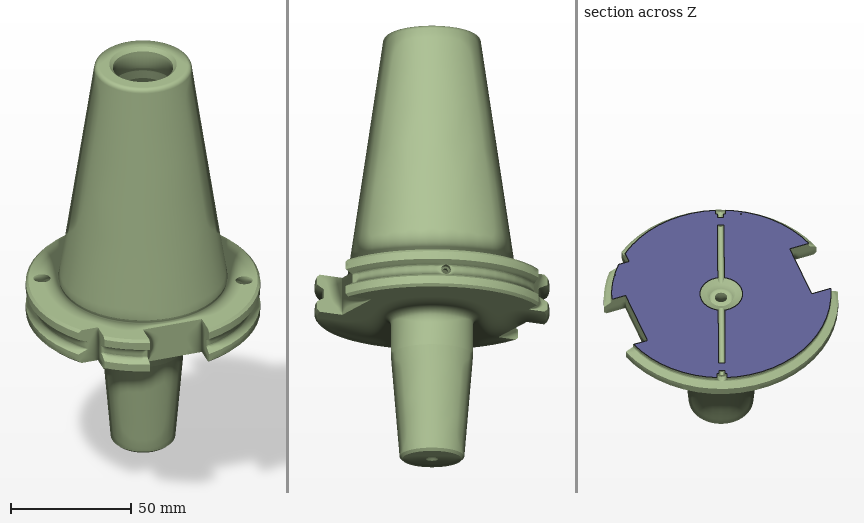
import cadquery as cq
import math


total_height = 181.8

gauge_height = 80.0
gauge_radius = 34.9
taper_slope = 7 / 48
taper_bottom = 78.5
taper_top_round = 2.0
taper_top_radius = gauge_radius - (total_height - gauge_height) * taper_slope
taper_bottom_radius = gauge_radius + (gauge_height - taper_bottom) * taper_slope
relief_radius = 34.7
relief_round = 0.4

flange_radius = 48.7
flange_bottom = 60.9
flange_top = 76.9
flange_chamfer = 1.0
groove_height = 68.9
groove_root_radius = 45.6
groove_root_width = 3.6
groove_flank_angle = 30.0
groove_root_round = 0.5

slot_width = 25.8
slot_floor_left = 35.3
slot_floor_right = 37.6
notch_x = 29.8
notch_y = 30.0

nose_radius = 17.0
nose_cone_height = 44.7
nose_tip_radius = 13.5
nose_chamfer = 1.0
nose_fillet = 2.9

through_radius = 2.5
bore_floor_radius = 4.7
bore_radius = 10.4
counterbore_radius = 12.5
counterbore_depth = 10.9
undercut_radius = 13.0
undercut_height = 1.5
mouth_chamfer = 1.5
drill_point_angle = 31.0

coolant_angle = 70.0
channel_radius = 1.3
channel_entry_radius = 8.7
face_screw_position = 42.0
face_screw_tilt = 30.0
face_screw_radius = 3.0
face_screw_depth = 2.9
face_socket_width = 2.9
plug_radius = 2.0
plug_depth = 2.2
plug_socket_width = 2.0
socket_depth = 1.8
socket_sides = 6

overlap = 3.6
edge_tolerance = 0.002


def round_circles(solid, circle_radius, round_radius):
    """Fillet every circular edge of the given radius."""
    circles = solid.edges("%CIRCLE").filter(
        lambda edge: math.isclose(edge.radius(), circle_radius, abs_tol=edge_tolerance)
    )
    return circles.fillet(round_radius)


def holder_body():
    """Taper, flange and nose turned in one piece."""
    flank_rise = (flange_radius - groove_root_radius) * math.tan(math.radians(groove_flank_angle))
    groove_half_root = groove_root_width / 2
    groove_half_mouth = groove_half_root + flank_rise
    profile = (
        cq.Workplane("XZ")
        .moveTo(0, 0)
        .lineTo(nose_tip_radius - nose_chamfer, 0)
        .lineTo(nose_tip_radius, nose_chamfer)
        .lineTo(nose_radius, nose_cone_height)
        .lineTo(nose_radius, flange_bottom - nose_fillet)
        .radiusArc((nose_radius + nose_fillet, flange_bottom), nose_fillet)
        .lineTo(flange_radius - flange_chamfer, flange_bottom)
        .lineTo(flange_radius, flange_bottom + flange_chamfer)
        .lineTo(flange_radius, groove_height - groove_half_mouth)
        .lineTo(groove_root_radius, groove_height - groove_half_root)
        .lineTo(groove_root_radius, groove_height + groove_half_root)
        .lineTo(flange_radius, groove_height + groove_half_mouth)
        .lineTo(flange_radius, flange_top - flange_chamfer)
        .lineTo(flange_radius - flange_chamfer, flange_top)
        .lineTo(relief_radius, flange_top)
        .lineTo(relief_radius, taper_bottom)
        .lineTo(taper_bottom_radius, taper_bottom)
        .lineTo(taper_top_radius, total_height)
        .lineTo(0, total_height)
        .close()
    )
    body = profile.revolve(360, (0, 0, 0), (0, 1, 0)).faces(">Z").edges().fillet(taper_top_round)
    body = round_circles(body, groove_root_radius, groove_root_round)
    return round_circles(body, relief_radius, relief_round)


def central_bore():
    """Stepped bore as a solid to be cut away; the ledge under the counterbore slopes at 45 degrees."""
    point_slope = math.tan(math.radians(drill_point_angle))
    bore_bottom = groove_height + (bore_radius - channel_entry_radius) * point_slope
    floor_height = bore_bottom - (bore_radius - bore_floor_radius) * point_slope
    ledge_height = total_height - counterbore_depth
    profile = (
        cq.Workplane("XZ")
        .moveTo(0, 0)
        .lineTo(through_radius, 0)
        .lineTo(through_radius, floor_height)
        .lineTo(bore_floor_radius, floor_height)
        .lineTo(bore_radius, bore_bottom)
        .lineTo(bore_radius, ledge_height - (counterbore_radius - bore_radius))
        .lineTo(counterbore_radius, ledge_height)
        .lineTo(undercut_radius, ledge_height)
        .lineTo(undercut_radius, ledge_height + undercut_height)
        .lineTo(counterbore_radius, ledge_height + undercut_height)
        .lineTo(counterbore_radius, total_height - mouth_chamfer)
        .lineTo(counterbore_radius + mouth_chamfer, total_height)
        .lineTo(0, total_height)
        .close()
    )
    return profile.revolve(360, (0, 0, 0), (0, 1, 0))


def flange_block(x_start, x_end, y_start, y_end):
    """Box through the full flange thickness."""
    block = cq.Workplane("XY").box(
        x_end - x_start, y_end - y_start, flange_top - flange_bottom, centered=False
    )
    return block.translate((x_start, y_start, flange_bottom))


def screw_recess(start, direction, radius, depth, socket_width):
    """Round recess ending on a screw face with a hexagon socket, cut along a direction."""
    axis = cq.Vector(*direction)
    origin = cq.Vector(*start) - axis * overlap
    plane = cq.Plane(origin=origin.toTuple(), xDir=(-direction[1], direction[0], 0), normal=direction)
    recess = cq.Workplane(plane).circle(radius).extrude(overlap + depth)
    socket_diameter = socket_width / math.cos(math.pi / socket_sides)
    socket_length = overlap + depth + socket_depth
    socket = cq.Workplane(plane).polygon(socket_sides, socket_diameter).extrude(socket_length)
    return recess.union(socket)


def coolant_cut(angle):
    """Radial channel into the bore floor, its plug in the groove and the screw in the flange face."""
    out_x = math.cos(math.radians(angle))
    out_y = math.sin(math.radians(angle))
    tilt = math.radians(face_screw_tilt)

    channel_end = face_screw_position - (flange_top - groove_height) * math.tan(tilt)
    channel_plane = cq.Plane(origin=(0, 0, groove_height), xDir=(0, 0, 1), normal=(out_x, out_y, 0))
    channel = cq.Workplane(channel_plane).circle(channel_radius).extrude(channel_end)

    plug = screw_recess(
        (groove_root_radius * out_x, groove_root_radius * out_y, groove_height),
        (-out_x, -out_y, 0),
        plug_radius, plug_depth, plug_socket_width,
    )
    face_screw = screw_recess(
        (face_screw_position * out_x, face_screw_position * out_y, flange_top),
        (-out_x * math.sin(tilt), -out_y * math.sin(tilt), -math.cos(tilt)),
        face_screw_radius, face_screw_depth, face_socket_width,
    )
    return channel.union(plug).union(face_screw)


result = holder_body().cut(central_bore())

result = result.cut(flange_block(-flange_radius, -slot_floor_left, -slot_width / 2, slot_width / 2))
result = result.cut(flange_block(slot_floor_right, flange_radius, -slot_width / 2, slot_width / 2))

result = result.cut(flange_block(notch_x, flange_radius, -flange_radius, -notch_y))

for turn in (0, 180):
    result = result.cut(coolant_cut(coolant_angle + turn))